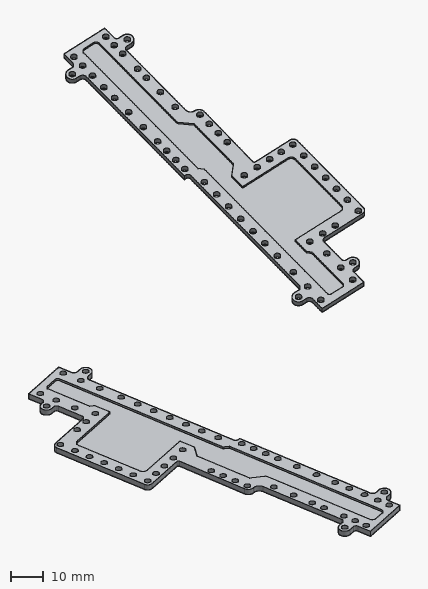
import cadquery as cq
import math

length = 125.7
thickness = 2.0
pocket_depth = 0.8
hole_diameter = 2.0

left_arm_top = 16.0
shelf_left = 42.0
shelf_top = 20.1
shelf_end_top = 19.9
shelf_radius = 2.0
block_left = 68.9
block_right = 104.8
block_top = 35.6
block_radius = 1.6
block_left_root_radius = 0.6
block_right_root_radius = 1.0
right_arm_top = 18.0
right_arm_bottom = 1.6
bottom_step_x = 59.6
bottom_step_radius = 1.0

lug_radius = 2.0
left_lug_reach = 2.8
right_lug_reach_top = 2.0
right_lug_reach_bottom = 2.9
left_lug_x = 7.7
right_lug_x = 117.6
lug_root_radius_top = 1.0
lug_root_radius_bottom = 1.4

pocket_left = 2.3
pocket_right = 123.0
pocket_left_bottom = 5.0
pocket_left_top = 11.0
pocket_right_bottom = 6.4
pocket_right_top = 12.6
pocket_shelf_top = 14.7
pocket_neck_top = 11.4
window_left = 73.9
window_right = 99.9
window_top = 30.8
window_radius = 1.6
pocket_left_radius = 1.3
pocket_right_radius = 0.9
shelf_ramp_start = 42.1
shelf_ramp_end = shelf_ramp_start + pocket_shelf_top - pocket_left_top
neck_ramp_start = 65.2
neck_ramp_end = neck_ramp_start + pocket_shelf_top - pocket_neck_top
right_ramp_start = 105.6
right_ramp_end = right_ramp_start + pocket_right_top - pocket_neck_top
bottom_ramp_start = 60.0
bottom_ramp_end = bottom_ramp_start + pocket_right_bottom - pocket_left_bottom

row_inset = 1.8
left_bottom_row = [2.8, 7.0, 12.0, 17.6, 22.9, 29.8, 37.1]
left_top_row = [2.8, 6.9, 11.0, 18.5, 22.9, 29.8, 37.1]
shelf_row = [44.1, 48.6, 53.2, 57.5]
right_bottom_row = [65.2, 71.3, 77.2, 83.2, 89.2, 95.1, 101.3, 109.2, 116.3, 122.8]
right_top_row = [110.0, 116.9, 122.8]
right_top_row_y = 15.8

block_row_y = 33.5
block_row_start = 70.8
block_row_pitch = 5.4
block_row_count = 7
block_row_end = block_row_start + block_row_pitch * (block_row_count - 1)
block_right_column = [14.6, 19.6, 24.5]
block_left_column = block_right_column + [29.0]


def rounded_outline(corners):
    """Closed wire through (x, y, radius) corners, each rounded by a tangent arc."""
    starts, middles, ends = [], [], []
    for i, (x, y, radius) in enumerate(corners):
        corner = cq.Vector(x, y)
        before = cq.Vector(*corners[i - 1][:2])
        after = cq.Vector(*corners[(i + 1) % len(corners)][:2])
        back = (before - corner).normalized()
        ahead = (after - corner).normalized()
        half_angle = back.getAngle(ahead) / 2
        setback = radius / math.tan(half_angle)
        bisector = (back + ahead).normalized()
        starts.append(corner + back * setback)
        middles.append(corner + bisector * (radius / math.sin(half_angle) - radius))
        ends.append(corner + ahead * setback)

    edges = []
    tolerance = 1.26e-06
    for i, (_, _, radius) in enumerate(corners):
        if (starts[i] - ends[i - 1]).Length > tolerance:
            edges.append(cq.Edge.makeLine(ends[i - 1], starts[i]))
        if radius > 0:
            edges.append(cq.Edge.makeThreePointArc(starts[i], middles[i], ends[i]))
    return cq.Wire.assembleEdges(edges)


def lug(x, base_y, hole_y, root_radius):
    """Corners of one lug, in clockwise order around the plate."""
    side = math.copysign(lug_radius, hole_y - base_y)
    tip_y = hole_y + side
    return [
        (x - side, base_y, root_radius),
        (x - side, tip_y, lug_radius),
        (x + side, tip_y, lug_radius),
        (x + side, base_y, root_radius),
    ]


def prism(corners, height):
    outline = rounded_outline(corners)
    return cq.Workplane(cq.Solid.extrudeLinear(outline, [], cq.Vector(0, 0, height)))


def row(x_values, y):
    return [(x, y) for x in x_values]


def column(x, y_values):
    return [(x, y) for y in y_values]


left_lug_top_y = left_arm_top + left_lug_reach
left_lug_bottom_y = -left_lug_reach
right_lug_top_y = right_arm_top + right_lug_reach_top
right_lug_bottom_y = right_arm_bottom - right_lug_reach_bottom

plate_corners = [
    (0, 0, 0),
    (0, left_arm_top, 0),
    *lug(left_lug_x, left_arm_top, left_lug_top_y, lug_root_radius_top),
    (shelf_left, left_arm_top, shelf_radius),
    (shelf_left, shelf_top, shelf_radius),
    (block_left, shelf_end_top, block_left_root_radius),
    (block_left, block_top, block_radius),
    (block_right, block_top, block_radius),
    (block_right, right_arm_top, block_right_root_radius),
    *lug(right_lug_x, right_arm_top, right_lug_top_y, lug_root_radius_top),
    (length, right_arm_top, 0),
    (length, right_arm_bottom, 0),
    *lug(right_lug_x, right_arm_bottom, right_lug_bottom_y, lug_root_radius_bottom),
    (bottom_step_x, right_arm_bottom, bottom_step_radius),
    (bottom_step_x, 0, 0),
    *lug(left_lug_x, 0, left_lug_bottom_y, lug_root_radius_bottom),
]

pocket_corners = [
    (pocket_left, pocket_left_bottom, pocket_left_radius),
    (pocket_left, pocket_left_top, pocket_left_radius),
    (shelf_ramp_start, pocket_left_top, 0),
    (shelf_ramp_end, pocket_shelf_top, 0),
    (neck_ramp_start, pocket_shelf_top, 0),
    (neck_ramp_end, pocket_neck_top, 0),
    (window_left, pocket_neck_top, 0),
    (window_left, window_top, window_radius),
    (window_right, window_top, window_radius),
    (window_right, pocket_neck_top, 0),
    (right_ramp_start, pocket_neck_top, 0),
    (right_ramp_end, pocket_right_top, 0),
    (pocket_right, pocket_right_top, pocket_right_radius),
    (pocket_right, pocket_right_bottom, pocket_right_radius),
    (bottom_ramp_end, pocket_right_bottom, 0),
    (bottom_ramp_start, pocket_left_bottom, 0),
]

hole_centres = [
    *row(left_bottom_row + shelf_row, row_inset),
    *row(left_top_row, left_arm_top - row_inset),
    *row(shelf_row, shelf_top - row_inset),
    *row(right_bottom_row, right_arm_bottom + row_inset),
    *row(right_top_row, right_top_row_y),
    *row([block_row_start + i * block_row_pitch for i in range(block_row_count)], block_row_y),
    *column(block_row_start, block_left_column),
    *column(block_row_end, block_right_column),
    *column(left_lug_x, [left_lug_bottom_y, left_lug_top_y]),
    *column(right_lug_x, [right_lug_bottom_y, right_lug_top_y]),
]

plate = prism(plate_corners, thickness)
pocket = prism(pocket_corners, pocket_depth).translate((0, 0, thickness - pocket_depth))
holes = cq.Workplane().pushPoints(hole_centres).circle(hole_diameter / 2).extrude(thickness)

result = plate.cut(pocket).cut(holes)